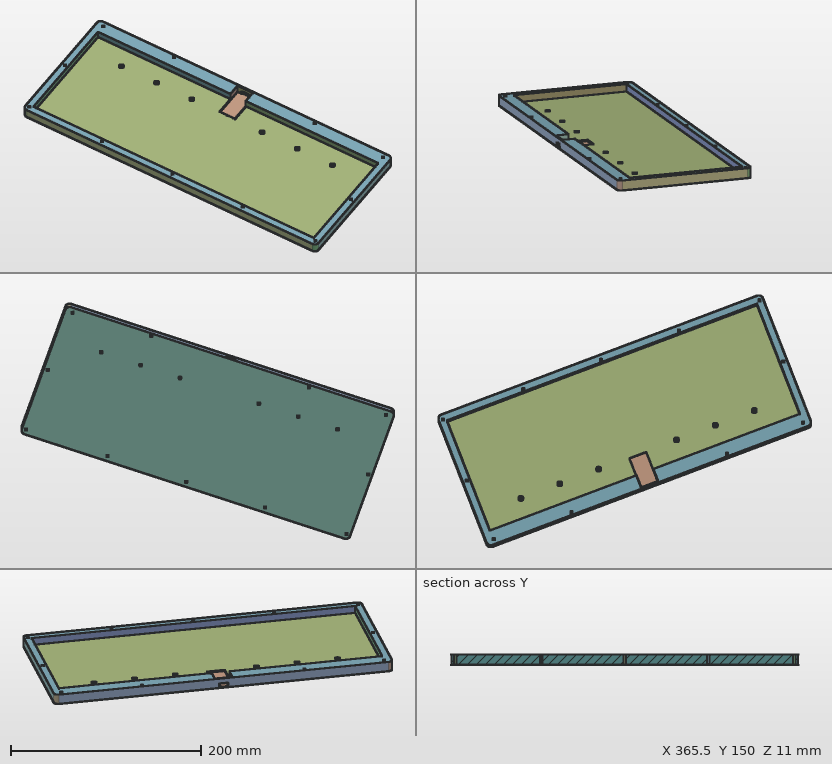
import cadquery as cq

length = 365.5
width = 150.0
height = 11.0
corner_radius = 4.8
floor_thickness = 3.0

side_wall = 8.0
rear_wall = 15.5
pocket_length = length - 2 * side_wall
pocket_width = width - side_wall - rear_wall

recess_length = 19.0
recess_front_y = 38.5
recess_rear_wall = 1.5
recess_depth_below_floor = 1.5
recess_width = width / 2 - recess_rear_wall - recess_front_y
recess_floor = floor_thickness - recess_depth_below_floor

opening_length = 10.2
opening_height = 3.5
opening_z = recess_floor + opening_height / 2

rim_hole_diameter = 2.25
floor_hole_diameter = 2.65
floor_sink_diameter = 5.0
sink_angle = 90
hole_pitch = 44.0
floor_hole_y = 37.5
side_hole_inset = 4.5
front_hole_inset = 5.5
side_hole_y = 0.7
rim_hole_x = length / 2 - side_hole_inset
front_hole_y = front_hole_inset - width / 2
rear_hole_y = 72.0
rear_corner_x = 174.5
rear_corner_y = 69.5


def pocket(x_size, y_size, center_y, bottom_z):
    """Rectangular cutter reaching from bottom_z to the top face."""
    return (
        cq.Workplane("XY", origin=(0, center_y, bottom_z))
        .rect(x_size, y_size)
        .extrude(height - bottom_z)
    )


def mirrored(points):
    """Points together with their mirror images across X = 0."""
    return [(side * x, y) for x, y in points for side in (-1, 1)]


tray = cq.Workplane("XY").box(length, width, height, centered=(True, True, False))
tray = tray.edges("|Z").fillet(corner_radius)
tray = tray.cut(pocket(pocket_length, pocket_width, (side_wall - rear_wall) / 2, floor_thickness))
tray = tray.cut(pocket(recess_length, recess_width, recess_front_y + recess_width / 2, recess_floor))

opening = (
    cq.Workplane("XZ", origin=(0, width / 2, opening_z))
    .slot2D(opening_length, opening_height)
    .extrude(recess_rear_wall)
)
tray = tray.cut(opening)

rim_points = mirrored([
    (rear_corner_x, rear_corner_y),
    (2 * hole_pitch, rear_hole_y),
    (rim_hole_x, side_hole_y),
    (rim_hole_x, front_hole_y),
    (2 * hole_pitch, front_hole_y),
]) + [(0, front_hole_y)]
rim_holes = cq.Workplane("XY").pushPoints(rim_points).circle(rim_hole_diameter / 2).extrude(height)
tray = tray.cut(rim_holes)

floor_points = mirrored([(count * hole_pitch, floor_hole_y) for count in (1, 2, 3)])
tray = (
    tray.copyWorkplane(cq.Workplane("XY", origin=(0, 0, floor_thickness)))
    .pushPoints(floor_points)
    .cskHole(floor_hole_diameter, floor_sink_diameter, sink_angle)
)

result = tray